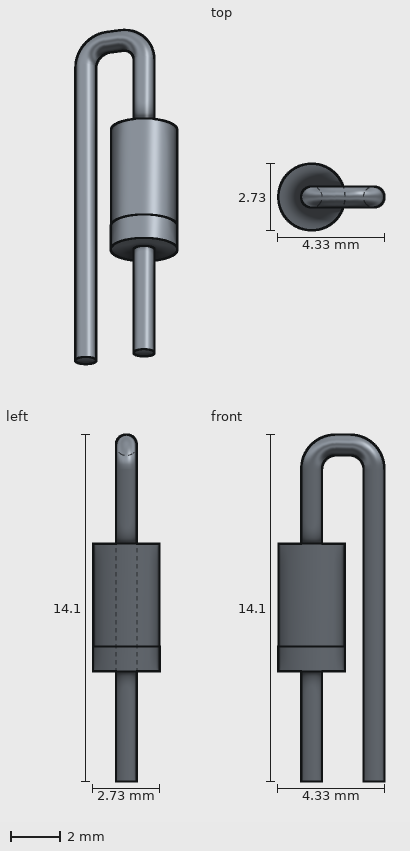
import cadquery as cq

lead_pitch = 2.54
lead_diameter = 0.86
bend_radius = 0.98
overall_height = 14.14
body_diameter = 2.71
band_diameter = 2.728
body_length = 5.2
band_length = 1.02
lower_lead_length = 4.49

body_bottom = lower_lead_length
lead_top = overall_height - lead_diameter / 2
bend_start = lead_top - bend_radius


def make_cylinder(diameter, bottom, length):
    """Solid cylinder on the body axis."""
    return cq.Workplane("XY").workplane(offset=bottom).circle(diameter / 2).extrude(length)


def make_lead():
    """Round wire swept up the body axis, across the top and down the return leg."""
    path = (
        cq.Workplane("XZ")
        .lineTo(0, bend_start)
        .radiusArc((bend_radius, lead_top), bend_radius)
        .lineTo(lead_pitch - bend_radius, lead_top)
        .radiusArc((lead_pitch, bend_start), bend_radius)
        .lineTo(lead_pitch, 0)
    )
    return cq.Workplane("XY").circle(lead_diameter / 2).sweep(path)


body = make_cylinder(body_diameter, body_bottom, body_length)
band = make_cylinder(band_diameter, body_bottom, band_length)

result = body.union(band).union(make_lead())